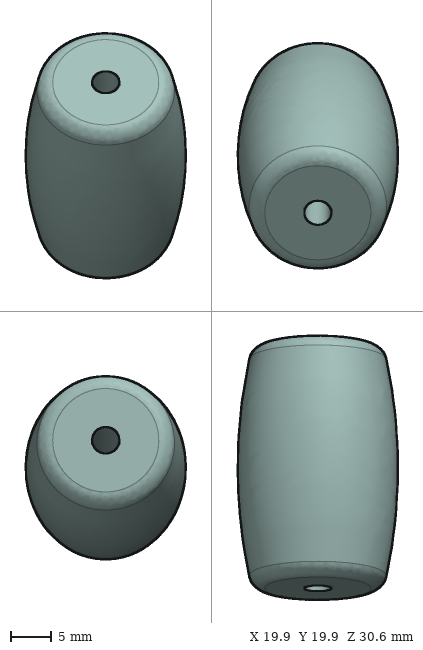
import cadquery as cq

height = 30.6
middle_radius = 9.95
end_radius = 8.17
edge_rounding = 2.0
bore_diameter = 3.37

half_height = height / 2

profile = (
    cq.Workplane("XZ")
    .moveTo(0, -half_height)
    .lineTo(end_radius, -half_height)
    .threePointArc((middle_radius, 0), (end_radius, half_height))
    .lineTo(0, half_height)
    .close()
)
barrel = profile.revolve(360, (0, 0), (0, 1))

barrel = barrel.faces("<Z or >Z").edges().fillet(edge_rounding)

result = barrel.faces(">Z").workplane(origin=(0, 0, half_height)).hole(bore_diameter)